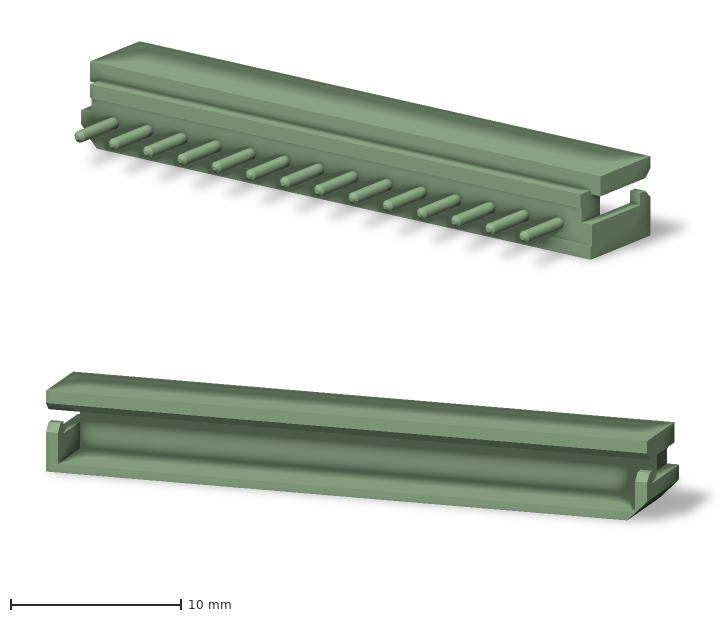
import cadquery as cq

length = 37.4
height = 4.9
body_depth = 5.87
roof_depth = 4.9
roof_underside = 3.65
end_inset = 0.75

shoulder_height = 3.9
wall_inner_depth = 3.95
groove_bottom = 0.82
groove_top = 3.03
groove_depth = 0.1

ledge_height = 2.15
lip_height = 2.88
lip_width = 1.0
mouth_chamfer = 0.5

floor_height = 0.52

bevel_size = 1.25

pin_count = 14
pin_pitch = 2.5
pin_diameter = 0.7
pin_height = 1.8
pin_reach = 9.4
pin_tip_chamfer = 0.22

middle_length = length - 2 * end_inset


def extrude_along_x(points, start, distance):
    """Extrude an outline of (Y, Z) points along +X."""
    outline = cq.Workplane("YZ", origin=(start, 0, 0)).polyline(points).close()
    return outline.extrude(distance)


def make_roof():
    return extrude_along_x(
        [
            (0, height),
            (-roof_depth, height),
            (-roof_depth, roof_underside),
            (-mouth_chamfer, roof_underside),
            (0, roof_underside + mouth_chamfer),
        ],
        0,
        length,
    )


def make_wall():
    return extrude_along_x(
        [
            (-wall_inner_depth, 0),
            (-body_depth, 0),
            (-body_depth, shoulder_height),
            (-wall_inner_depth, shoulder_height),
        ],
        end_inset,
        middle_length,
    )


def make_floor():
    return (
        cq.Workplane("XY")
        .box(length, body_depth, floor_height, centered=False)
        .translate((0, -body_depth, 0))
    )


def make_ledge(start):
    return extrude_along_x(
        [
            (0, 0),
            (-body_depth, 0),
            (-body_depth, ledge_height),
            (-lip_width, ledge_height),
            (-lip_width, lip_height),
            (-mouth_chamfer, lip_height),
            (0, lip_height - mouth_chamfer),
        ],
        start,
        end_inset,
    )


def make_groove():
    return (
        cq.Workplane("XY")
        .box(length, groove_depth, groove_top - groove_bottom, centered=False)
        .translate((0, -body_depth, groove_bottom))
    )


def make_bevel():
    return (
        cq.Workplane("XZ")
        .polyline([(0, 0), (bevel_size, 0), (0, bevel_size)])
        .close()
        .extrude(body_depth)
    )


def make_pin(x):
    pin_length = pin_reach - wall_inner_depth
    return (
        cq.Workplane("XZ", origin=(x, -wall_inner_depth, pin_height))
        .circle(pin_diameter / 2)
        .extrude(pin_length)
        .faces("<Y")
        .chamfer(pin_tip_chamfer)
    )


body = make_roof().union(make_wall()).union(make_floor())
for ledge_start in (0, length - end_inset):
    body = body.union(make_ledge(ledge_start))
body = body.cut(make_groove()).cut(make_bevel())

first_pin = (length - (pin_count - 1) * pin_pitch) / 2
for index in range(pin_count):
    body = body.union(make_pin(first_pin + index * pin_pitch))

result = body